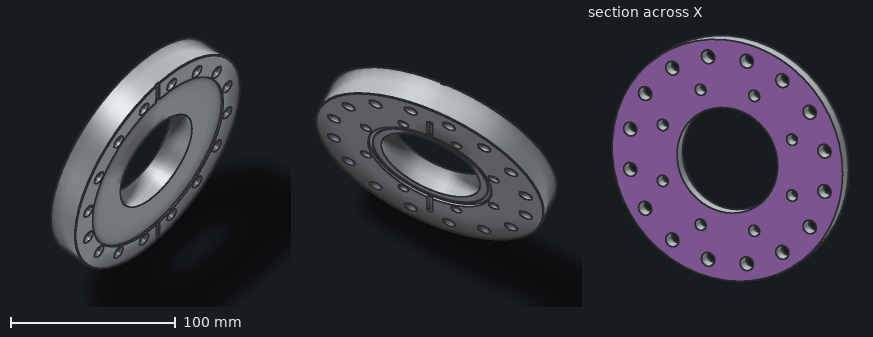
import cadquery as cq
import math

thickness = 20.0
outer_diameter = 152.0
bore_diameter = 66.0
rim_chamfer = 0.5
front_x = -thickness / 2
back_x = thickness / 2

bolt_count = 16
bolt_circle = 130.3
bolt_diameter = 8.4

blind_count = 8
blind_circle = 92.1
blind_diameter = 6.8
blind_depth = 12.2
drill_tip_angle = 118.0

groove_outer_diameter = 82.5
groove_inner_diameter = 76.9
groove_depth = 1.8
groove_crest_depth = 0.6

land_depth = 1.4

recess_diameter = 120.5
recess_depth = 1.4

slot_half_width = 2.1
slot_depth = 1.2
slot_tip_radius = 59.1
slot_radius = (slot_half_width**2 + slot_depth**2) / (2 * slot_depth)

notch_width = 3.0
notch_depth = 0.9
notch_overlap = 0.8


def revolve_about_x(points):
    """Revolve a closed outline of (x, radius) points about the X axis."""
    return cq.Workplane("XY").polyline(points).close().revolve(360, (0, 0, 0), (1, 0, 0))


def place_on_circle(tool, circle_diameter, count):
    """Copy a tool lying on the X axis around a circle, starting half a step from +Y."""
    step = 360 / count
    radial = tool.translate((0, circle_diameter / 2, 0))
    pattern = cq.Workplane("YZ")
    for i in range(count):
        pattern = pattern.add(radial.rotate((0, 0, 0), (1, 0, 0), (i + 0.5) * step))
    return pattern.combine()


def make_disc():
    disc = cq.Workplane("YZ", origin=(front_x, 0, 0)).circle(outer_diameter / 2).extrude(thickness)
    disc = disc.faces("<X or >X").edges().chamfer(rim_chamfer)
    bore = cq.Workplane("YZ", origin=(front_x, 0, 0)).circle(bore_diameter / 2).extrude(thickness)
    return disc.cut(bore)


def make_bolt_holes():
    hole = cq.Workplane("YZ", origin=(front_x, 0, 0)).circle(bolt_diameter / 2).extrude(thickness)
    return place_on_circle(hole, bolt_circle, bolt_count)


def make_blind_holes():
    radius = blind_diameter / 2
    shoulder_x = front_x + blind_depth
    tip_x = shoulder_x + radius / math.tan(math.radians(drill_tip_angle / 2))
    hole = revolve_about_x([(front_x, 0), (front_x, radius), (shoulder_x, radius), (tip_x, 0)])
    return place_on_circle(hole, blind_circle, blind_count)


def make_ring_groove():
    outer_radius = groove_outer_diameter / 2
    inner_radius = groove_inner_diameter / 2
    return revolve_about_x([
        (front_x, inner_radius),
        (front_x, outer_radius),
        (front_x + groove_depth, outer_radius),
        (front_x + groove_crest_depth, inner_radius),
    ])


def make_land():
    return cq.Workplane("YZ", origin=(front_x, 0, 0)).circle(groove_inner_diameter / 2).extrude(land_depth)


def make_recess():
    return cq.Workplane("YZ", origin=(back_x, 0, 0)).circle(recess_diameter / 2).extrude(-recess_depth)


def make_slot(direction):
    """Ball-ended slot running out along Z from the ring groove; direction is +1 or -1."""
    axis_x = front_x + slot_depth - slot_radius
    start = (groove_outer_diameter + groove_inner_diameter) / 4
    end = slot_tip_radius - slot_half_width
    body = (
        cq.Workplane("XY", origin=(axis_x, 0, direction * start))
        .circle(slot_radius)
        .extrude(direction * (end - start))
    )
    tip = cq.Workplane("XY").sphere(slot_radius).translate((axis_x, 0, direction * end))
    return body.union(tip)


def make_notch(direction):
    """Shallow notch from the rim into the sealing recess; direction is +1 or -1 along Z."""
    notch_length = (outer_diameter - recess_diameter) / 2 + notch_overlap
    center_z = direction * (outer_diameter - notch_length) / 2
    return (
        cq.Workplane("XY")
        .box(notch_depth, notch_width, notch_length)
        .translate((back_x - notch_depth / 2, 0, center_z))
    )


result = make_disc().cut(make_bolt_holes()).cut(make_blind_holes())
result = result.cut(make_ring_groove()).cut(make_land()).cut(make_recess())
for side in (1, -1):
    result = result.cut(make_slot(side)).cut(make_notch(side))